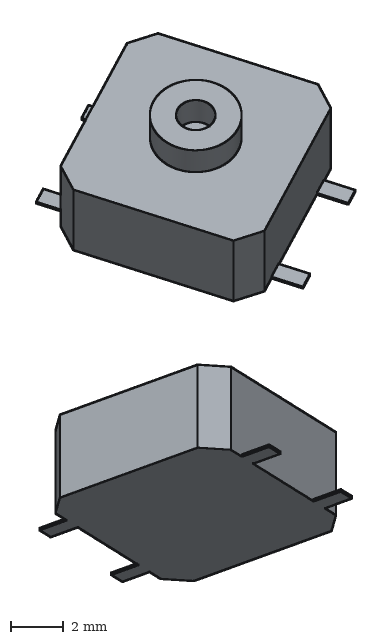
import cadquery as cq

lead_span = 11.0
body_width = 8.4
total_height = 4.9

body_height = 3.6
corner_chamfer = 0.9

button_diameter = 3.5
button_hole_diameter = 1.5
button_height = total_height - body_height

lead_width = 0.7
lead_thickness = 0.1
lead_pitch = 4.5


def make_housing():
    """Square block with chamfered vertical corners, standing on Z = 0."""
    block = cq.Workplane("XY").box(body_width, body_width, body_height, centered=(True, True, False))
    return block.edges("|Z").chamfer(corner_chamfer)


def make_button():
    """Round button with a blind hole reaching down to the housing top."""
    return (
        cq.Workplane("XY")
        .workplane(offset=body_height)
        .circle(button_diameter / 2)
        .circle(button_hole_diameter / 2)
        .extrude(button_height)
    )


def make_lead_strip(y_center):
    """Flat strip through the housing whose two ends form opposite leads."""
    strip = cq.Workplane("XY").box(lead_span, lead_width, lead_thickness, centered=(True, True, False))
    return strip.translate((0, y_center, 0))


result = make_housing().union(make_button())
for side in (-1, 1):
    result = result.union(make_lead_strip(side * lead_pitch / 2))